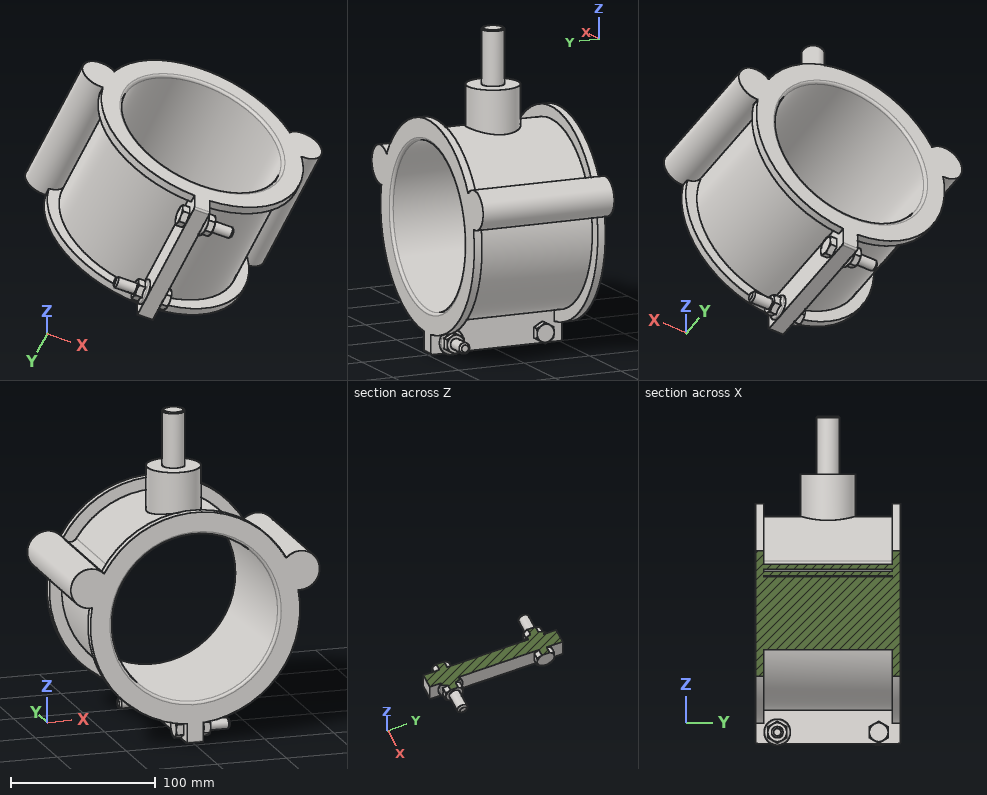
import cadquery as cq
import math

WIDTH = 100.0
FLANGE_RADIUS = 75.8
FLANGE_THICKNESS = 6.0
BODY_RADIUS = 67.0
BORE_RADIUS = 60.0
BORE_ROUNDING = 2.0

OVERALL_X = 180.0
LOBE_RADIUS = 14.0
LOBE_X = OVERALL_X / 2 - LOBE_RADIUS
LOBE_ANGLE = 20
LOBE_Z = LOBE_X * math.tan(math.radians(LOBE_ANGLE))
LOBE_FILLET_RADIUS = 5.0

BOSS_RADIUS = 19.0
BOSS_TOP_Z = 96.0
PIN_RADIUS = 8.0
PIN_TOP_Z = 136.0
PIN_CHAMFER = 1.0

LUG_THICKNESS = 11.5
LUG_BOTTOM_Z = -89.9
LUG_CORNER_RADIUS = 1.4

BOLT_Z = -82.0
BOLT_OFFSET_Y = 35.0
BOLT_DIAMETER = 8.0
BOLT_TIP_X = 29.0
BOLT_TIP_CHAMFER = 1.4
HEX_ACROSS_FLATS = 13.0
HEX_CHAMFER_ANGLE = 30
HEAD_HEIGHT = 5.2
NUT_HEIGHT = 8.2
NUT_FLANGE_RADIUS = 9.0
NUT_RIM_RADIUS = 1.1
NUT_CONE_ANGLE = 30


def bar_along_y(radius, length, x=0, z=0):
    """Cylinder parallel to Y and centred on the XZ plane."""
    return cq.Workplane("XZ").center(x, z).circle(radius).extrude(length / 2, both=True)


def lobe_fillet():
    """Concave filler in the upper corner between the body and the right lobe."""
    lobe_distance = math.hypot(LOBE_X, LOBE_Z)
    to_body = BODY_RADIUS + LOBE_FILLET_RADIUS
    to_lobe = LOBE_RADIUS + LOBE_FILLET_RADIUS
    cosine = (lobe_distance**2 + to_body**2 - to_lobe**2) / (2 * lobe_distance * to_body)
    angle = math.radians(LOBE_ANGLE) + math.acos(cosine)
    center = cq.Vector(to_body * math.cos(angle), to_body * math.sin(angle))
    lobe_center = cq.Vector(LOBE_X, LOBE_Z)

    body_tangent = center * (BODY_RADIUS / to_body)
    lobe_tangent = center + (lobe_center - center) * (LOBE_FILLET_RADIUS / to_lobe)
    toward_corner = ((body_tangent + lobe_tangent) * 0.5 - center).normalized()
    arc_middle = center + toward_corner * LOBE_FILLET_RADIUS
    body_inside = body_tangent * (BORE_RADIUS / BODY_RADIUS)
    return (
        cq.Workplane("XZ")
        .moveTo(body_tangent.x, body_tangent.y)
        .threePointArc((arc_middle.x, arc_middle.y), (lobe_tangent.x, lobe_tangent.y))
        .lineTo(LOBE_X, LOBE_Z)
        .lineTo(body_inside.x, body_inside.y)
        .close()
        .extrude(WIDTH / 2 - FLANGE_THICKNESS, both=True)
    )


def spool():
    """Body cylinder, before it is bored, with its end flanges and side lobes."""
    solid = bar_along_y(BODY_RADIUS, WIDTH)
    for side in (-1, 1):
        flange = bar_along_y(FLANGE_RADIUS, FLANGE_THICKNESS)
        solid = solid.union(flange.translate((0, side * (WIDTH - FLANGE_THICKNESS) / 2, 0)))
        solid = solid.union(bar_along_y(LOBE_RADIUS, WIDTH, side * LOBE_X, LOBE_Z))
    filler = lobe_fillet()
    return solid.union(filler).union(filler.mirror("YZ"))


def bore():
    """Through bore with a rounded edge at both mouths, as a cutting tool."""
    mouth_radius = BORE_RADIUS + BORE_ROUNDING
    half_width = WIDTH / 2
    round_start_y = half_width - BORE_ROUNDING
    arc_middle_radius = mouth_radius - BORE_ROUNDING * math.cos(math.radians(45))
    arc_middle_y = round_start_y + BORE_ROUNDING * math.sin(math.radians(45))
    return (
        cq.Workplane("XY")
        .moveTo(0, -half_width)
        .lineTo(mouth_radius, -half_width)
        .threePointArc((arc_middle_radius, -arc_middle_y), (BORE_RADIUS, -round_start_y))
        .lineTo(BORE_RADIUS, round_start_y)
        .threePointArc((arc_middle_radius, arc_middle_y), (mouth_radius, half_width))
        .lineTo(0, half_width)
        .close()
        .revolve(360, (0, 0, 0), (0, 1, 0))
    )


def boss_and_pin():
    """Round boss on top of the body carrying a chamfered pin."""
    boss = cq.Workplane("XY").circle(BOSS_RADIUS).extrude(BOSS_TOP_Z)
    pin = cq.Workplane("XY").circle(PIN_RADIUS).extrude(PIN_TOP_Z)
    return boss.union(pin.faces(">Z").chamfer(PIN_CHAMFER))


def lug():
    """Flat plate below the body, rounded at its two lower corners."""
    return (
        cq.Workplane("XY")
        .box(LUG_THICKNESS, WIDTH, -LUG_BOTTOM_Z, centered=(True, True, False))
        .translate((0, 0, LUG_BOTTOM_Z))
        .edges("|X and <Z")
        .fillet(LUG_CORNER_RADIUS)
    )


def hexagon(height):
    """Hexagonal prism along X from the origin, corners up and down, far end chamfered."""
    across_corners = HEX_ACROSS_FLATS * 2 / math.sqrt(3)
    prism = cq.Workplane("YZ").polygon(6, across_corners).extrude(height)
    prism = prism.rotate((0, 0, 0), (1, 0, 0), 90)
    face_radius = HEX_ACROSS_FLATS / 2
    slope = math.tan(math.radians(HEX_CHAMFER_ANGLE))
    envelope = (
        cq.Workplane("XY")
        .lineTo(height, 0)
        .lineTo(height, face_radius)
        .lineTo(0, face_radius + height / slope)
        .close()
        .revolve(360, (0, 0, 0), (1, 0, 0))
    )
    return prism.intersect(envelope)


def flange_nut():
    """Hexagon nut along X with a round-rimmed conical flange at the origin."""
    angle = math.radians(NUT_CONE_ANGLE)
    rim_center = NUT_FLANGE_RADIUS - NUT_RIM_RADIUS
    cone_start_x = NUT_RIM_RADIUS * (1 + math.cos(angle))
    cone_start_radius = rim_center + NUT_RIM_RADIUS * math.sin(angle)
    cone_tip_x = cone_start_x + cone_start_radius * math.tan(angle)
    skirt = (
        cq.Workplane("XY")
        .lineTo(0, rim_center)
        .threePointArc((NUT_RIM_RADIUS, NUT_FLANGE_RADIUS), (cone_start_x, cone_start_radius))
        .lineTo(cone_tip_x, 0)
        .close()
        .revolve(360, (0, 0, 0), (1, 0, 0))
    )
    return hexagon(NUT_HEIGHT).union(skirt)


def bolt():
    """Bolt along X with its head on the -X side of the lug and its nut on the +X side."""
    lug_face_x = LUG_THICKNESS / 2
    shank = cq.Workplane("YZ").circle(BOLT_DIAMETER / 2).extrude(BOLT_TIP_X)
    shank = shank.faces(">X").chamfer(BOLT_TIP_CHAMFER)
    nut = flange_nut().translate((lug_face_x, 0, 0))
    head = hexagon(HEAD_HEIGHT).mirror("YZ").translate((-lug_face_x, 0, 0))
    core = cq.Workplane("YZ").circle(BOLT_DIAMETER / 2).extrude(lug_face_x, both=True)
    return core.union(shank).union(nut).union(head)


result = spool().union(boss_and_pin()).union(lug())
front_bolt = bolt().translate((0, -BOLT_OFFSET_Y, BOLT_Z))
result = result.union(front_bolt)
result = result.union(front_bolt.rotate((0, 0, 0), (0, 0, 1), 180))
result = result.cut(bore())